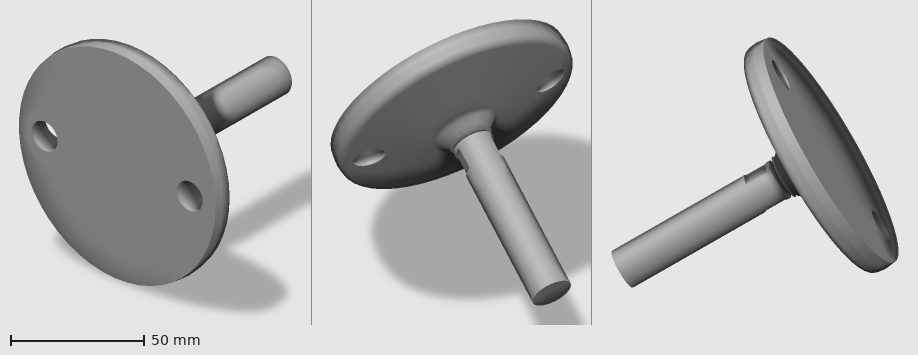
import cadquery as cq
import math

plate_radius = 49.0
parting_height = 4.1
rim_height = 7.3
rim_draft = 7.0
cone_slope = 10.0
edge_radius = 2.9
hub_top_height = 20.2
hub_top_radius = 8.0
hub_slope = 45.0
hub_fillet = 3.5

hole_diameter = 12.5
hole_offset = 35.8
hole_reach = 29.4

stud_radius = 16.0 / 2
stud_end = 92.0
stud_shoulder = 22.4
neck_radius = 5.9
neck_start = 22.2
flange_radius = 8.7
flange_height = 20.8
flat_start = 24.1
flat_end = 33.5
across_flats = 12.9


def revolve_about_y(profile):
    return profile.close().revolve(360, (0, 0, 0), (0, 1, 0))


def make_plate():
    draft = math.tan(math.radians(rim_draft))
    cone = math.radians(cone_slope)
    hub = math.radians(hub_slope)
    face_radius = plate_radius - parting_height * draft
    rim_radius = plate_radius - (rim_height - parting_height) * draft

    rim_normal = math.radians(rim_draft)
    cone_normal = math.radians(90 - cone_slope)
    middle_normal = (rim_normal + cone_normal) / 2
    center_r = rim_radius - edge_radius * math.cos(rim_normal)
    center_y = rim_height - edge_radius * math.sin(rim_normal)

    def on_edge(angle):
        return (center_r + edge_radius * math.cos(angle), center_y + edge_radius * math.sin(angle))

    cone_r, cone_y = on_edge(cone_normal)

    corner_r = (
        hub_top_height + hub_top_radius * math.tan(hub) - cone_y - cone_r * math.tan(cone)
    ) / (math.tan(hub) - math.tan(cone))
    corner_y = cone_y + (cone_r - corner_r) * math.tan(cone)

    trim = hub_fillet * math.tan((hub - cone) / 2)
    outer = (corner_r + trim * math.cos(cone), corner_y - trim * math.sin(cone))
    inner = (corner_r - trim * math.cos(hub), corner_y + trim * math.sin(hub))
    mean_slope = (hub + cone) / 2
    arc_center = (outer[0] + hub_fillet * math.sin(cone), outer[1] + hub_fillet * math.cos(cone))
    middle = (
        arc_center[0] - hub_fillet * math.sin(mean_slope),
        arc_center[1] - hub_fillet * math.cos(mean_slope),
    )

    profile = (
        cq.Workplane("XY")
        .moveTo(0, 0)
        .lineTo(face_radius, 0)
        .lineTo(plate_radius, parting_height)
        .lineTo(rim_radius, rim_height)
        .threePointArc(on_edge(middle_normal), (cone_r, cone_y))
        .lineTo(*outer)
        .threePointArc(middle, inner)
        .lineTo(hub_top_radius, hub_top_height)
        .lineTo(0, hub_top_height)
    )
    plate = revolve_about_y(profile)
    for side in (-1, 1):
        plate = plate.cut(make_hole_cutter(side))
    return plate


def make_hole_cutter(side):
    """Cylinder leaning outward so that it is square to the cone surface."""
    angle = math.radians(cone_slope)
    axis = cq.Vector(side * math.sin(angle), math.cos(angle), 0)
    start = cq.Vector(side * hole_offset, 0, 0) - axis * hole_reach
    return cq.Workplane(cq.Solid.makeCylinder(hole_diameter / 2, 2 * hole_reach, start, axis))


def make_stud():
    profile = (
        cq.Workplane("XY")
        .moveTo(0, hub_top_height)
        .lineTo(hub_top_radius, hub_top_height)
        .lineTo(flange_radius, flange_height)
        .lineTo(neck_radius, neck_start)
        .lineTo(neck_radius, stud_shoulder)
        .lineTo(stud_radius, stud_shoulder)
        .lineTo(stud_radius, stud_end)
        .lineTo(0, stud_end)
    )
    stud = revolve_about_y(profile)

    cut_width = stud_radius
    for side in (-1, 1):
        flat_cutter = cq.Workplane("XY").box(cut_width, flat_end - flat_start, 2 * stud_radius)
        flat_x = side * (across_flats + cut_width) / 2
        stud = stud.cut(flat_cutter.translate((flat_x, (flat_start + flat_end) / 2, 0)))
    return stud


foot_plate = make_plate()
stud = make_stud()
result = cq.Compound.makeCompound([*foot_plate.solids().vals(), *stud.solids().vals()])